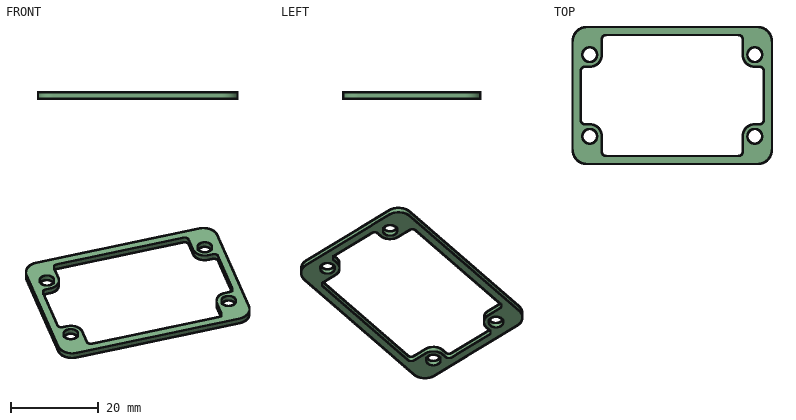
import cadquery as cq

length = 45.5
width = 31.3
thickness = 1.5
corner_radius = 3.3
rim = 1.9
hole_diameter = 3.3
hole_spacing_x = 37.65
hole_spacing_y = 18.6
boss_radius = 2.78
window_fillet = 0.9

window_length = length - 2 * rim
window_width = width - 2 * rim
boss_gap_x = hole_spacing_x - 2 * boss_radius
boss_gap_y = hole_spacing_y - 2 * boss_radius


def block(size_x, size_y):
    """Centred rectangular block of the frame's thickness."""
    return cq.Workplane("XY").rect(size_x, size_y).extrude(thickness)


window = block(window_length, boss_gap_y).union(block(boss_gap_x, window_width))
window = window.edges("|Z").edges("not(<X or >X or <Y or >Y)").fillet(boss_radius)

window = (
    window.edges("|Z and (<X or >X)").fillet(window_fillet)
    .edges("|Z and (<Y or >Y)").fillet(window_fillet)
)

frame = block(length, width).edges("|Z").fillet(corner_radius).cut(window)

result = (
    frame.faces(">Z").workplane(origin=(0, 0, thickness))
    .rect(hole_spacing_x, hole_spacing_y, forConstruction=True)
    .vertices()
    .hole(hole_diameter)
)